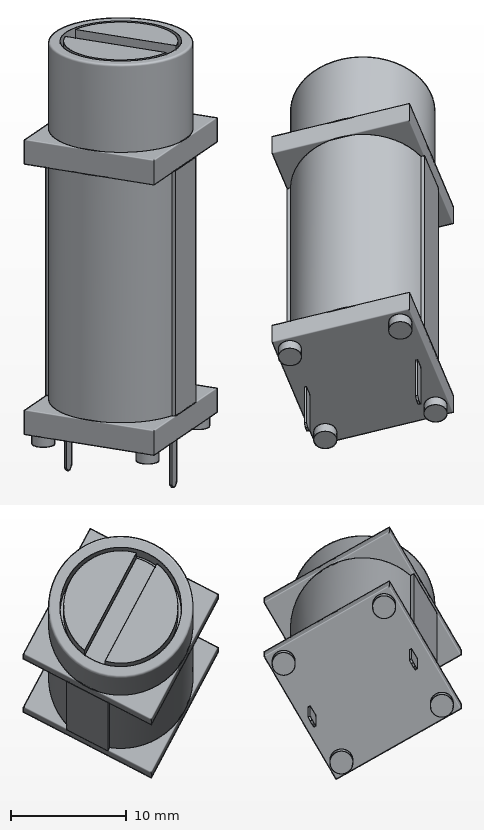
import cadquery as cq

total_height = 40.1
width = 12.5
radius = width / 2

pin_length = 4.0
peg_height = 1.0
plate_thickness = 2.3
cap_height = 8.0
base_bottom = pin_length + peg_height
base_top = base_bottom + plate_thickness
flange_top = total_height - cap_height
flange_bottom = flange_top - plate_thickness

plate_fillet = 0.1
cap_fillet = 0.2

pad_width = 4.0

ring_outer_diameter = 10.5
ring_inner_diameter = 9.9
ring_depth = 3.2
slot_width = 2.0
slot_depth = 2.4

peg_diameter = 2.0
peg_spacing = 10.02
pin_spacing = 10.1
pin_thickness = 0.2
pin_width = 1.0
pin_tip_chamfer = 0.32


def level(z):
    """Horizontal workplane at height z."""
    return cq.Workplane("XY").workplane(offset=z)


def square_plate(bottom):
    """Square plate with its top and bottom edges rounded."""
    plate = level(bottom).rect(width, width).extrude(plate_thickness)
    return plate.faces("|Z").edges().fillet(plate_fillet)


def barrel():
    """Round barrel between the plates, with a flat pad on each X side."""
    height = flange_bottom - base_top
    tube = level(base_top).circle(radius).extrude(height)
    pads = level(base_top).rect(width, pad_width).extrude(height)
    return tube.union(pads)


def cap():
    """Round cap with a ring groove and a screwdriver slot in its top face."""
    body = level(flange_top).circle(radius).extrude(cap_height)
    body = body.faces(">Z").edges().fillet(cap_fillet)
    groove = (
        level(total_height)
        .circle(ring_outer_diameter / 2)
        .circle(ring_inner_diameter / 2)
        .extrude(-ring_depth)
    )
    slot_limit = level(total_height).circle(ring_inner_diameter / 2).extrude(-slot_depth)
    slot = (
        level(total_height)
        .rect(ring_inner_diameter, slot_width)
        .extrude(-slot_depth)
        .intersect(slot_limit)
    )
    return body.cut(groove).cut(slot)


def pegs():
    """Round pegs under the four corners of the base."""
    return (
        level(pin_length)
        .rect(peg_spacing, peg_spacing, forConstruction=True)
        .vertices()
        .circle(peg_diameter / 2)
        .extrude(peg_height)
    )


def pin(x):
    """Flat solder pin centred at x, with its tip corners chamfered."""
    blade = level(0).center(x, 0).rect(pin_thickness, pin_width).extrude(base_bottom)
    return blade.faces("<Z").edges("|X").chamfer(pin_tip_chamfer)


result = (
    square_plate(base_bottom)
    .union(barrel())
    .union(square_plate(flange_bottom))
    .union(cap())
    .union(pegs())
)
for side in (-1, 1):
    result = result.union(pin(side * pin_spacing / 2))